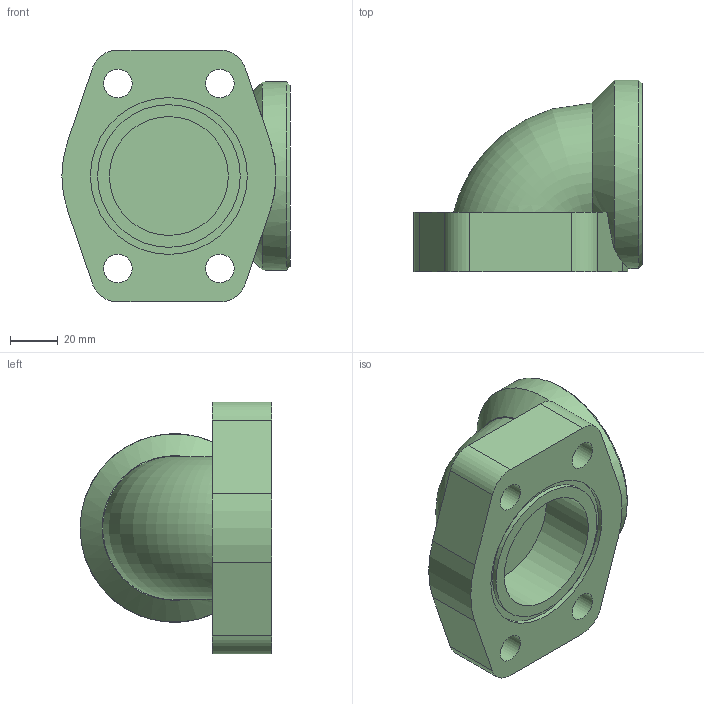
import cadquery as cq
import math

FLANGE_WIDTH = 90.0
FLANGE_HEIGHT = 106.0
FLANGE_THICKNESS = 25.0
CORNER_RADIUS = 11.3

BOLT_SPACING_X = 42.9
BOLT_SPACING_Z = 77.8
BOLT_HOLE_DIAMETER = 12.0

BORE_DIAMETER = 50.0
BORE_DEPTH = FLANGE_THICKNESS
GROOVE_INNER_DIAMETER = 60.0
GROOVE_OUTER_DIAMETER = 66.0
GROOVE_DEPTH = 2.0

OUTLET_FACE_X = 51.0
OUTLET_AXIS_Y = 41.0
COLLAR_DIAMETER = 79.3
COLLAR_RIM_WIDTH = 11.8
COLLAR_CONE_LENGTH = 9.2
COLLAR_CHAMFER = 1.5
COLLAR_BACK_X = OUTLET_FACE_X - COLLAR_RIM_WIDTH - COLLAR_CONE_LENGTH

PIPE_RADIUS = 30.0
BEND_RADIUS = 30.1
BEND_CENTER_Y = OUTLET_AXIS_Y - BEND_RADIUS


def polar(radius, angle):
    """Point at the given radius and angle from the origin."""
    return radius * math.cos(angle), radius * math.sin(angle)


def flange_plate():
    """Plate with round sides, tangent flanks and rounded corners."""
    side_radius = FLANGE_WIDTH / 2
    top = FLANGE_HEIGHT / 2
    corner_x = BOLT_SPACING_X / 2
    corner_z = top - CORNER_RADIUS

    corner_distance = math.hypot(corner_x, corner_z)
    corner_angle = math.atan2(corner_z, corner_x)
    flank_angle = corner_angle - math.acos((side_radius - CORNER_RADIUS) / corner_distance)

    side_x, side_z = polar(side_radius, flank_angle)
    flank_dx, flank_dz = polar(CORNER_RADIUS, flank_angle)
    flank_x = corner_x + flank_dx
    flank_z = corner_z + flank_dz
    mid_dx, mid_dz = polar(CORNER_RADIUS, (flank_angle + math.pi / 2) / 2)
    mid_x = corner_x + mid_dx
    mid_z = corner_z + mid_dz

    outline = (
        cq.Workplane("XZ")
        .moveTo(side_x, -side_z)
        .threePointArc((side_radius, 0), (side_x, side_z))
        .lineTo(flank_x, flank_z)
        .threePointArc((mid_x, mid_z), (corner_x, top))
        .lineTo(-corner_x, top)
        .threePointArc((-mid_x, mid_z), (-flank_x, flank_z))
        .lineTo(-side_x, side_z)
        .threePointArc((-side_radius, 0), (-side_x, -side_z))
        .lineTo(-flank_x, -flank_z)
        .threePointArc((-mid_x, -mid_z), (-corner_x, -top))
        .lineTo(corner_x, -top)
        .threePointArc((mid_x, -mid_z), (flank_x, -flank_z))
        .close()
    )
    return outline.extrude(-FLANGE_THICKNESS)


def elbow():
    """Solid quarter bend, turning from +Y to +X about an axis parallel to Z."""
    return (
        cq.Workplane("XZ", origin=(0, BEND_CENTER_Y, 0))
        .circle(PIPE_RADIUS)
        .revolve(90, (BEND_RADIUS, 0, 0), (BEND_RADIUS, -1, 0))
    )


def outlet_collar():
    """Collar turned about the outlet axis: cone, cylindrical rim, chamfered face."""
    rim_radius = COLLAR_DIAMETER / 2
    rim_start_x = COLLAR_BACK_X + COLLAR_CONE_LENGTH
    return (
        cq.Workplane("XY", origin=(0, OUTLET_AXIS_Y, 0))
        .moveTo(COLLAR_BACK_X, 0)
        .lineTo(COLLAR_BACK_X, rim_radius - COLLAR_CONE_LENGTH)
        .lineTo(rim_start_x, rim_radius)
        .lineTo(OUTLET_FACE_X - COLLAR_CHAMFER, rim_radius)
        .lineTo(OUTLET_FACE_X, rim_radius - COLLAR_CHAMFER)
        .lineTo(OUTLET_FACE_X, 0)
        .close()
        .revolve(360, (0, 0, 0), (1, 0, 0))
    )


def bolt_holes():
    """Four through holes in the flange."""
    return (
        cq.Workplane("XZ")
        .rect(BOLT_SPACING_X, BOLT_SPACING_Z, forConstruction=True)
        .vertices()
        .circle(BOLT_HOLE_DIAMETER / 2)
        .extrude(-FLANGE_THICKNESS)
    )


def bore():
    """Flat-bottomed blind bore from the mating face."""
    return cq.Workplane("XZ").circle(BORE_DIAMETER / 2).extrude(-BORE_DEPTH)


def seal_groove():
    """Ring groove around the bore in the mating face."""
    return (
        cq.Workplane("XZ")
        .circle(GROOVE_OUTER_DIAMETER / 2)
        .circle(GROOVE_INNER_DIAMETER / 2)
        .extrude(-GROOVE_DEPTH)
    )


body = flange_plate().union(elbow()).union(outlet_collar())
result = body.cut(bolt_holes()).cut(bore()).cut(seal_groove())